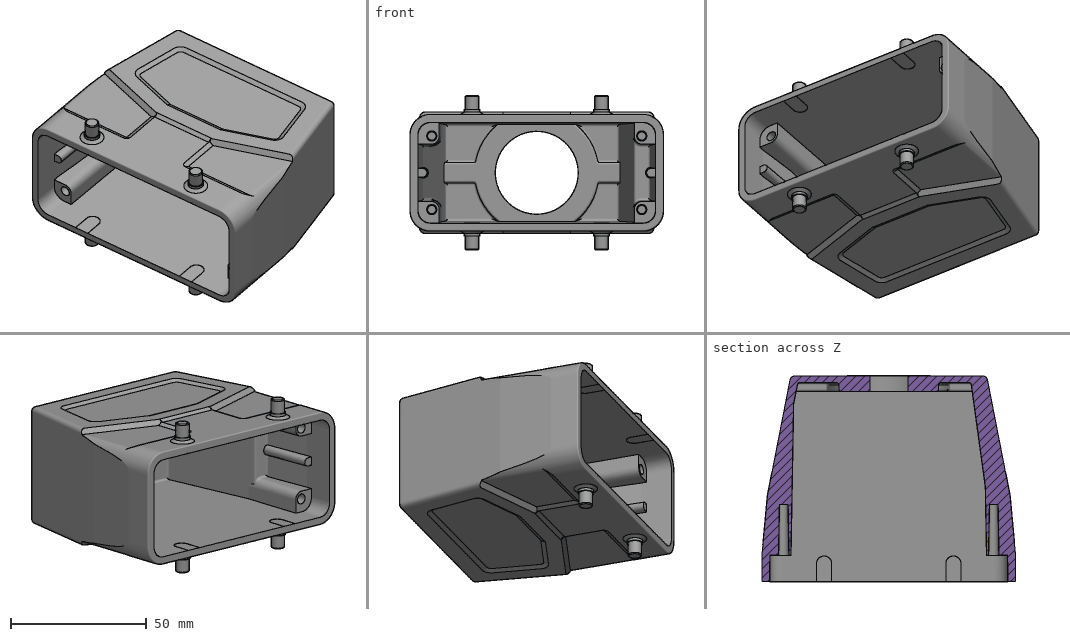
import cadquery as cq
import math


WIDTH = 93.5
LENGTH = 76.0
PIN_SPAN = 57.0
HEIGHT = 43.0
HOOD_HEIGHT = 44.9
CORNER_R = 7.5
RIM_R = 0.5
HOOD_R = 1.9
STRAIGHT_Y = 10.75
BEND_Y = 31.9
BEND_X = 44.8
REAR_X = 36.2

CHEVRON_Y = 31.2
CHEVRON_X = 13.3
CHEVRON_ANGLE = 19.0
CHEVRON_RUN = 1.6
CHEVRON_SLOPE = math.tan(math.radians(CHEVRON_ANGLE))

PANEL_DEPTH = 0.9
PANEL_RUN = 1.8
BORDER_TAPER = math.degrees(math.atan(PANEL_RUN / PANEL_DEPTH))
PANEL_X = 14.2
PANEL_Y = 14.8
PANEL_END_Y = 45.6
PANEL_EDGE_R = 2.3
LABEL_TOP_X = 28.0
LABEL_TOP_Y = 66.4
LABEL_MID_X = 31.9
LABEL_LOW_X = 12.0
LABEL_LOW_Y = 39.0
LABEL_R = 1.9

WALL = 2.9
CAVITY_R = 4.7
CAVITY_DRAFT = 0.6
CAVITY_END_Y = 73.4
CAVITY_REAR_X = 33.5
CAVITY_BEND_X = BEND_X - 3.0
SHELF_X = 36.0
SHELF_REAR_X = 30.3
FLOOR_R = 0.8
TOUCH = 0.2

HOLE_R = 15.2
RING_R = 22.9
BAR_WIDTH = 7.5
RING_HEIGHT = 3.3
RING_EDGE_R = 0.8

POST_Y = 9.8
POST_X = 36.0
POST_Z = 10.6
POST_R = 2.8
POST_DRAFT = 1.0
ROOT_X = 35.0
ROOT_Z = 15.9
ROOT_START_Y = 38.4
ROOT_END_Y = 66.4
SCREW_X = 38.7
SCREW_Z = 13.6
SCREW_R = 1.9
SCREW_DRAFT = 1.0
SCREW_DEPTH = 18.7
RIB_R = 1.6
RIB_X = 42.1
INNER_REACH = 56.1

PIN_X = 23.8
PIN_Y = 6.4
PIN_R = 2.5
PIN_CHAMFER = 0.4
COLLAR_R = 2.9
COLLAR_TOP = 23.4
FLARE_R = 4.4
FLARE_MID_R = 3.8
FLARE_MID = 21.8
FLARE_TOP = 22.3
GROOVE_R = 2.8
GROOVE_Y = 6.7


def both_sides(solid):
    """The solid together with its mirror image below Z = 0."""
    return solid.union(solid.mirror("XY"))


def facing_rear(y):
    """Workplane in XZ at the given Y, extruding toward the rear."""
    return cq.Workplane(cq.Plane(origin=(0, y, 0), xDir=(1, 0, 0), normal=(0, 1, 0)))


def rounded_bar(width, height, radius, start, length, taper=0):
    """Rounded rectangle in XZ, extruded along +Y from y = start."""
    sketch = cq.Sketch().rect(width, height).vertices().fillet(radius)
    return facing_rear(start).placeSketch(sketch).extrude(length, taper=taper)


def plan_prism(points, bottom, height, taper=0):
    """XY outline extruded upward from z = bottom."""
    return cq.Workplane("XY").workplane(offset=bottom).polyline(points).close().extrude(height, taper=taper)


def flank_plan():
    """XY outline of the shell: straight at the opening, then tapered twice."""
    half = WIDTH / 2
    right = [(half, 0), (half, STRAIGHT_Y), (BEND_X, BEND_Y), (REAR_X, LENGTH)]
    return right + [(-x, y) for x, y in reversed(right)]


def shell_envelope():
    """Largest outline of the shell, rounded along its long edges and its rear end."""
    block = plan_prism(flank_plan(), -HOOD_HEIGHT / 2, HOOD_HEIGHT)
    return block.faces(">Z or <Z or >Y").edges().edges("not <Y").fillet(HOOD_R)


def collar():
    """Front body with a sunken panel in each corner of its top and bottom."""
    body = rounded_bar(WIDTH, HEIGHT, CORNER_R, 0, LENGTH)
    body = body.intersect(plan_prism(flank_plan(), -HEIGHT, 2 * HEIGHT))
    body = body.faces("<Y").edges().fillet(RIM_R)
    floor = HEIGHT / 2 - PANEL_DEPTH
    for side in (1, -1):
        points = [(PANEL_X, PANEL_Y), (WIDTH, PANEL_Y), (WIDTH, PANEL_END_Y), (PANEL_X, PANEL_END_Y)]
        points = [(side * x, y) for x, y in points]
        panel = plan_prism(points, floor, 2 * PANEL_DEPTH, -BORDER_TAPER)
        body = body.cut(both_sides(panel))
    corner_dz = floor - (HEIGHT / 2 - CORNER_R)
    edge_x = WIDTH / 2 - CORNER_R + math.sqrt(CORNER_R ** 2 - corner_dz ** 2)
    for x in (-edge_x, edge_x):
        for z in (-floor, floor):
            edge = cq.selectors.BoxSelector((x - TOUCH, 0, z - TOUCH), (x + TOUCH, LENGTH, z + TOUCH))
            body = body.edges("|Y").edges(edge).fillet(PANEL_EDGE_R)
    return body


def hood():
    """Region of the thick hood, bounded in front by the sloped chevron step."""
    top = HOOD_HEIGHT / 2
    base = HEIGHT / 2 - PANEL_DEPTH
    rise = top - base
    foot_y = CHEVRON_Y - CHEVRON_RUN
    wing_y = foot_y + (WIDTH - CHEVRON_X) * CHEVRON_SLOPE
    outline = [(-CHEVRON_X, foot_y), (CHEVRON_X, foot_y), (WIDTH, wing_y),
               (WIDTH, 2 * LENGTH), (-WIDTH, 2 * LENGTH), (-WIDTH, wing_y)]
    slope = math.degrees(math.atan(CHEVRON_RUN / rise))
    core = plan_prism(outline, 0, base)
    step = plan_prism(outline, base, rise, slope)
    ramp_points = [(foot_y, HEIGHT / 2), (LENGTH / 2, HEIGHT / 2), (LENGTH / 2, top), (CHEVRON_Y, top)]
    ramp = cq.Workplane("YZ").polyline(ramp_points).close().extrude(PANEL_X - PANEL_RUN, both=True)
    return both_sides(core.union(step).union(ramp))


def label_panel():
    """Shallow sunken panel in the top and bottom of the hood."""
    low = (LABEL_LOW_X, LABEL_LOW_Y)
    mid = (LABEL_MID_X, LABEL_LOW_Y + (LABEL_MID_X - LABEL_LOW_X) * CHEVRON_SLOPE)
    right = [low, mid, (LABEL_TOP_X, LABEL_TOP_Y)]
    points = right + [(-x, y) for x, y in reversed(right)]
    floor = HOOD_HEIGHT / 2 - PANEL_DEPTH
    rounded = cq.Sketch().polygon(points + points[:1]).vertices(">Y or <X or >X").fillet(LABEL_R)
    base = cq.Workplane(origin=(0, 0, floor))
    panel = base.placeSketch(rounded).extrude(PANEL_DEPTH, taper=-BORDER_TAPER)
    return both_sides(panel)


def cavity():
    """Plain hollow with a shelf along its right wall."""
    mouth_x = WIDTH / 2 - WALL
    points = [(mouth_x, 0), (mouth_x, STRAIGHT_Y), (CAVITY_BEND_X, BEND_Y), (SHELF_X, BEND_Y),
              (SHELF_REAR_X, CAVITY_END_Y), (-CAVITY_REAR_X, CAVITY_END_Y),
              (-CAVITY_BEND_X, BEND_Y), (-mouth_x, STRAIGHT_Y), (-mouth_x, 0)]
    plan = plan_prism(points, -HEIGHT, 2 * HEIGHT)
    room = rounded_bar(2 * mouth_x, HEIGHT - 2 * WALL, CAVITY_R, 0, LENGTH, CAVITY_DRAFT)
    return room.intersect(plan)


def cable_ring():
    """Raised ring around the cable hole with a bar running to both side walls."""
    start = CAVITY_END_Y - RING_HEIGHT
    length = LENGTH - start
    ring = facing_rear(start).circle(RING_R).extrude(length)
    bar = facing_rear(start).rect(WIDTH, BAR_WIDTH).extrude(length)
    return ring.union(bar).edges("|Y").fillet(RING_EDGE_R).faces("<Y").edges().fillet(RING_EDGE_R)


def screw_posts():
    size_x = WIDTH / 2 - POST_X
    size_z = HEIGHT / 2 - POST_Z
    post = rounded_bar(size_x, size_z, POST_R, POST_Y, INNER_REACH, -POST_DRAFT)
    x = POST_X + size_x / 2
    z = POST_Z + size_z / 2
    return [post.translate((side_x * x, 0, side_z * z)) for side_x in (1, -1) for side_z in (1, -1)]


def guide_ribs():
    """Round-nosed ribs that reach from the cavity walls toward the middle."""
    nose_x = RIB_X - RIB_R
    reach = WIDTH / 2 - nose_x
    rib = facing_rear(POST_Y).slot2D(2 * reach, 2 * RIB_R).extrude(INNER_REACH, taper=-POST_DRAFT)
    return [rib.translate((side * (nose_x + reach), 0, 0)) for side in (1, -1)]


def pin_grooves():
    """Straight grooves from the opening, level with its inner edge."""
    depth = HEIGHT - 2 * WALL
    base = cq.Workplane("XY").workplane(offset=-depth / 2)
    groove = base.rect(2 * GROOVE_R, 2 * GROOVE_Y).extrude(depth)
    groove = groove.union(base.center(0, GROOVE_Y).circle(GROOVE_R).extrude(depth))
    return [groove.translate((side * PIN_X, 0, 0)) for side in (1, -1)]


def hollow():
    """Space inside the shell, shaped by the ring, posts and ribs that stand in it."""
    space = cavity().cut(cable_ring())
    space = space.faces(">Y").edges().fillet(FLOOR_R)
    for post in screw_posts():
        space = space.cut(post)
    shelf_edges = cq.selectors.BoxSelector(
        (SHELF_X - TOUCH, BEND_Y - TOUCH, -HEIGHT), (WIDTH, BEND_Y + TOUCH, HEIGHT))
    space = space.edges(shelf_edges).fillet(FLOOR_R)
    root_edges = cq.selectors.BoxSelector(
        (-CAVITY_BEND_X, ROOT_START_Y, -ROOT_Z), (-ROOT_X, ROOT_END_Y, ROOT_Z))
    space = space.edges(root_edges).fillet(FLOOR_R)
    for rib in guide_ribs():
        space = space.cut(rib)
    for groove in pin_grooves():
        space = space.union(groove)
    return space


def screw_holes():
    centres = facing_rear(POST_Y).rect(2 * SCREW_X, 2 * SCREW_Z, forConstruction=True).vertices()
    return centres.circle(SCREW_R).extrude(SCREW_DEPTH, taper=SCREW_DRAFT)


def cable_hole():
    return facing_rear(0).circle(HOLE_R).extrude(2 * LENGTH)


def pin(x):
    """Locking pin with collar and flared foot, on the top and the bottom face."""
    root = HEIGHT / 2 - WALL / 2
    tip = PIN_SPAN / 2
    profile = [(0, root), (FLARE_R, root), (FLARE_R, HEIGHT / 2), (FLARE_MID_R, FLARE_MID),
               (COLLAR_R, FLARE_TOP), (COLLAR_R, COLLAR_TOP), (PIN_R, COLLAR_TOP),
               (PIN_R, tip - PIN_CHAMFER), (PIN_R - PIN_CHAMFER, tip), (0, tip)]
    body = cq.Workplane("XZ").polyline(profile).close().revolve(360, (0, 0, 0), (0, 1, 0))
    return both_sides(body.translate((x, PIN_Y, 0)))


shell = collar().union(hood()).intersect(shell_envelope())
result = shell.cut(label_panel()).cut(hollow()).cut(screw_holes()).cut(cable_hole())
for pin_x in (PIN_X, -PIN_X):
    result = result.union(pin(pin_x))